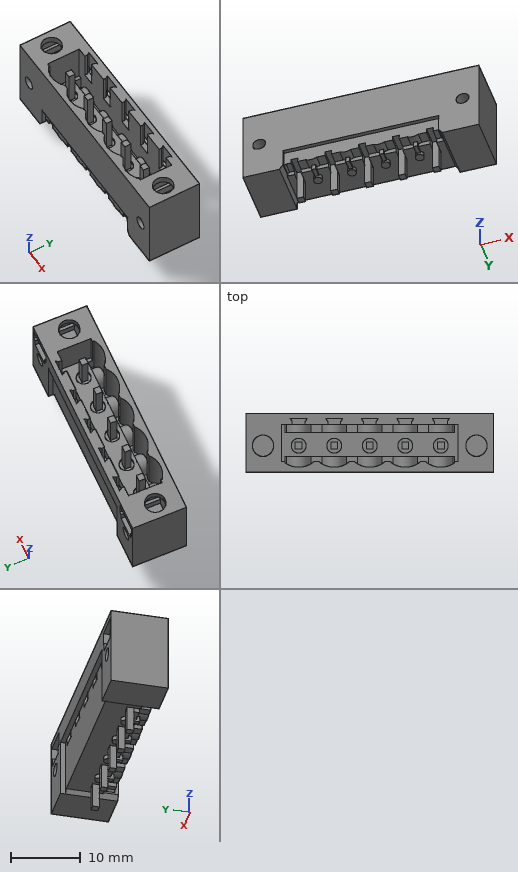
import cadquery as cq
import math


length = 35.4
depth = 8.43
height = 12.0
front_face = -depth / 2
back_face = depth / 2

pin_count = 5
pin_row_span = 20.32
pitch = pin_row_span / (pin_count - 1)
pin_side = 1.0
pin_drop = 3.2
pin_top = 11.0
row_y = -0.4
pin_xs = [(i - (pin_count - 1) / 2) * pitch for i in range(pin_count)]
gap_xs = [x + pitch / 2 for x in pin_xs[:-1]]

cavity_half_length = 12.65
cavity_half_depth = 2.62
platform_top = 6.02
platform_front = -1.95
platform_back = 1.5
trough_half_length = 12.1
trough_floor = 4.0
pin_recess_radius = 1.05
pin_recess_depth = 0.35

scallop_radius = 3.35
wall_thickness = 0.75
scallop_center_y = front_face + wall_thickness + scallop_radius

hump_half_width = 1.75
hump_crown_half_width = 1.3
hump_flank_slope = math.radians(58)
hump_crown_radius = hump_crown_half_width / math.sin(hump_flank_slope)
hump_flank_rise = (hump_half_width - hump_crown_half_width) * math.tan(hump_flank_slope)
hump_height = hump_flank_rise + hump_crown_radius * (1 - math.cos(hump_flank_slope))

dovetail_mouth_half = 0.92
dovetail_back_half = 1.2
dovetail_lip = 0.42
dovetail_floor = 7.8
back_recess_half_length = 12.2
back_recess_top = 8.78

front_recess_half_length = 11.68
front_recess_depth = 0.55
front_recess_top = 3.6
edge_height = 1.35
edge_lobe_half = 0.8
edge_lobe_drop = 0.2
edge_corner = 0.3

underside_height = 0.65
opening_bevel_width = 0.53
opening_bevel_height = 0.78
notch_top = 2.02

foot_radius = 0.65
rib_width = 0.6
rib_bottom = 0.3
rib_front = -2.48

flange_x = 15.25
screw_radius = 1.52
screw_depth = 1.03
nut_slot_half_width = 2.12
nut_slot_floor = 9.0
nut_groove_half_width = 1.65
nut_groove_floor = dovetail_floor
cross_hole_radius = 0.95


def box(x0, x1, y0, y1, z0, z1):
    """Box between two opposite corners."""
    return cq.Workplane("XY").box(x1 - x0, y1 - y0, z1 - z0, centered=False).translate((x0, y0, z0))


def along_y(sketch, y0, y1):
    """Extrude a closed XZ outline from y0 to y1."""
    return sketch.extrude(y0 - y1).translate((0, y0, 0))


def upright_cylinder(x, y, radius, z0, z1):
    """Vertical cylinder between two heights."""
    return cq.Workplane("XY").center(x, y).circle(radius).extrude(z1 - z0).translate((0, 0, z0))


def plug_cavity():
    """Space for the plug, with scallops in the front wall and a trough on each side of the platform."""
    cavity = box(-cavity_half_length, cavity_half_length, -cavity_half_depth, cavity_half_depth,
                 platform_top, height)
    front_trough = box(-trough_half_length, trough_half_length, -cavity_half_depth, platform_front,
                       trough_floor, height)
    back_trough = box(-trough_half_length, trough_half_length, platform_back, cavity_half_depth,
                      trough_floor, height)
    scallop_limits = box(-trough_half_length, trough_half_length, front_face, platform_front,
                         trough_floor, height)
    cavity = cavity.union(front_trough).union(back_trough)
    for x in pin_xs:
        scallop = upright_cylinder(x, scallop_center_y, scallop_radius, trough_floor, height)
        cavity = cavity.union(scallop.intersect(scallop_limits))
    for x in pin_xs:
        cavity = cavity.cut(hump(x))
        cavity = cavity.union(upright_cylinder(x, row_y, pin_recess_radius,
                                               platform_top - pin_recess_depth, platform_top))
    return cavity


def hump(x):
    """Raised ridge across both troughs at one pin."""
    crown_start = trough_floor + hump_flank_rise
    outline = (
        cq.Workplane("XZ")
        .moveTo(x - hump_half_width, trough_floor)
        .lineTo(x - hump_crown_half_width, crown_start)
        .threePointArc((x, trough_floor + hump_height), (x + hump_crown_half_width, crown_start))
        .lineTo(x + hump_half_width, trough_floor)
        .close()
    )
    return along_y(outline, front_face, cavity_half_depth)


def dovetail_slot(x):
    """Coding slot in the back wall, wider behind a straight lip."""
    lip_y = cavity_half_depth + dovetail_lip
    return (
        cq.Workplane("XY")
        .polyline([
            (x - dovetail_mouth_half, cavity_half_depth),
            (x - dovetail_mouth_half, lip_y),
            (x - dovetail_back_half, back_face - wall_thickness),
            (x + dovetail_back_half, back_face - wall_thickness),
            (x + dovetail_mouth_half, lip_y),
            (x + dovetail_mouth_half, cavity_half_depth),
        ])
        .close()
        .extrude(height - dovetail_floor)
        .translate((0, 0, dovetail_floor))
    )


def back_recess():
    """Recess in the back face that opens the lower part of the dovetail slots."""
    return box(-back_recess_half_length, back_recess_half_length, back_face - wall_thickness, back_face,
               0, back_recess_top)


def front_recess():
    """Shallow recess along the lower front face."""
    return box(-front_recess_half_length, front_recess_half_length,
               front_face, front_face + front_recess_depth, 0, front_recess_top)


def underside_opening():
    """Bevelled passage under the whole depth of the housing."""
    bottom_half = front_recess_half_length + opening_bevel_width
    top_half = bottom_half - opening_bevel_width * underside_height / opening_bevel_height
    outline = (
        cq.Workplane("XZ")
        .polyline([(-bottom_half, 0), (-top_half, underside_height), (top_half, underside_height),
                   (bottom_half, 0)])
        .close()
    )
    return along_y(outline, front_face, back_face)


def front_clearance():
    """Higher part of the opening in front of the platform; the wall edge dips in a lobe at each gap."""
    half = front_recess_half_length
    bottom_half = half + opening_bevel_width
    outline = (
        cq.Workplane("XZ")
        .moveTo(-bottom_half, 0)
        .lineTo(-half, opening_bevel_height)
        .lineTo(-half, edge_height - edge_corner)
        .lineTo(-half + edge_corner, edge_height)
    )
    for x in gap_xs:
        outline = outline.lineTo(x - edge_lobe_half, edge_height)
        outline = outline.threePointArc((x, edge_height - edge_lobe_drop), (x + edge_lobe_half, edge_height))
    outline = (
        outline
        .lineTo(half - edge_corner, edge_height)
        .lineTo(half, edge_height - edge_corner)
        .lineTo(half, opening_bevel_height)
        .lineTo(bottom_half, 0)
        .close()
    )
    return along_y(outline, front_face, platform_front)


def pin_notch(x):
    """Channel under the front wall, as wide as a pin and reaching back to it."""
    return box(x - pin_side / 2, x + pin_side / 2, front_face, row_y - pin_side / 2, 0, notch_top)


def foot(x):
    """Round standoff foot with a rib on its front side."""
    post = upright_cylinder(x, row_y, foot_radius, 0, underside_height)
    rib = box(x - rib_width / 2, x + rib_width / 2, rib_front, row_y, rib_bottom, edge_height)
    return post.union(rib)


def flange_openings(x):
    """Screw hole above a stepped nut slot open to the back, and a cross hole at mid height."""
    slot_front = row_y - screw_radius
    slot_top = height - screw_depth
    screw_hole = upright_cylinder(x, row_y, screw_radius, slot_top, height)
    nut_slot = box(x - nut_slot_half_width, x + nut_slot_half_width, slot_front, back_face,
                   nut_slot_floor, slot_top)
    nut_groove = box(x - nut_groove_half_width, x + nut_groove_half_width, slot_front, back_face,
                     nut_groove_floor, nut_slot_floor)
    cross_hole = along_y(cq.Workplane("XZ").center(x, height / 2).circle(cross_hole_radius),
                         front_face, back_face)
    return screw_hole.union(nut_slot).union(nut_groove).union(cross_hole)


def contact_pin(x):
    """Straight square pin."""
    half = pin_side / 2
    return box(x - half, x + half, row_y - half, row_y + half, -pin_drop, pin_top)


def build_housing():
    """Housing block with all its openings cut and its feet added."""
    body = box(-length / 2, length / 2, front_face, back_face, 0, height)
    body = body.cut(plug_cavity()).cut(back_recess()).cut(front_recess())
    body = body.cut(underside_opening()).cut(front_clearance())
    for x in gap_xs:
        body = body.union(foot(x))
    for x in pin_xs:
        body = body.cut(dovetail_slot(x)).cut(pin_notch(x)).cut(contact_pin(x))
    for x in (-flange_x, flange_x):
        body = body.cut(flange_openings(x))
    return body.solids().val()


housing = build_housing()
contact_pins = [contact_pin(x).val() for x in pin_xs]

result = cq.Compound.makeCompound([housing, *contact_pins])